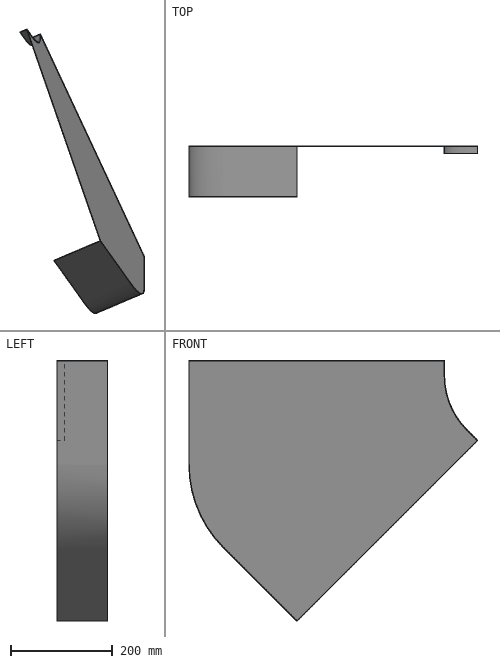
import cadquery as cq
import math

width = 502.0
height = 511.54
bend_angle = 45.0
outer_radius = 230.0
inner_radius = 149.0
wall_depth = 100.0
lip_depth = 15.0
thickness = 0.8

turn = math.radians(bend_angle)
half_turn_tan = math.tan(turn / 2)
outer_corner = height / (1 + math.cos(turn))
inner_corner = outer_corner - width * half_turn_tan
outer_straight = outer_corner - outer_radius * half_turn_tan
inner_straight = inner_corner - inner_radius * half_turn_tan


def trace_side(x, radius, straight):
    """Points along one side: start, arc start, arc middle, arc end and finish."""
    def on_arc(angle):
        return (x + radius * (1 - math.cos(angle)), -straight - radius * math.sin(angle))

    arc_end = on_arc(turn)
    finish = (arc_end[0] + straight * math.sin(turn), arc_end[1] - straight * math.cos(turn))
    return (x, 0.0), on_arc(0.0), on_arc(turn / 2), arc_end, finish


def band_between(left_side, right_side, depth):
    """Solid between two sides and the open ends, extruded from the back face (Y = 0) toward -Y."""
    left_top, left_arc_start, left_arc_mid, left_arc_end, left_finish = left_side
    right_top, right_arc_start, right_arc_mid, right_arc_end, right_finish = right_side
    outline = (
        cq.Workplane("XZ")
        .moveTo(*left_top)
        .lineTo(*left_arc_start)
        .threePointArc(left_arc_mid, left_arc_end)
        .lineTo(*left_finish)
        .lineTo(*right_finish)
        .lineTo(*right_arc_end)
        .threePointArc(right_arc_mid, right_arc_start)
        .lineTo(*right_top)
    )
    return outline.close().extrude(depth)


outer_edge = trace_side(0.0, outer_radius, outer_straight)
outer_wall_face = trace_side(thickness, outer_radius - thickness, outer_straight)
inner_lip_face = trace_side(width - thickness, inner_radius + thickness, inner_straight)
inner_edge = trace_side(width, inner_radius, inner_straight)

plate = band_between(outer_edge, inner_edge, thickness)
outer_wall = band_between(outer_edge, outer_wall_face, wall_depth)
inner_lip = band_between(inner_lip_face, inner_edge, lip_depth)

result = plate.union(outer_wall).union(inner_lip)